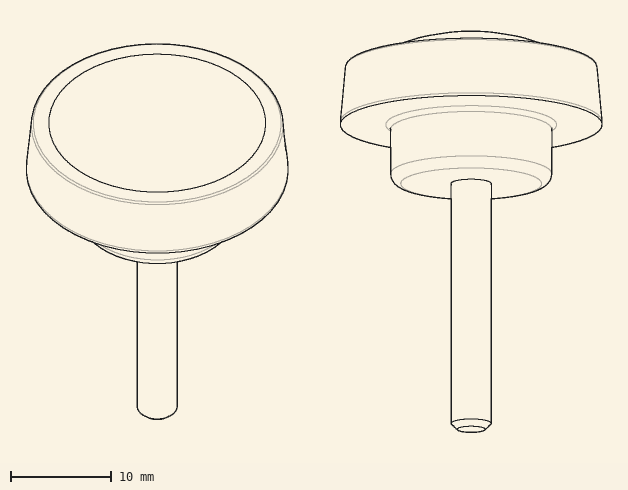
import cadquery as cq

pin_length = 25.0
hub_height = 6.0
rim_height = 6.0
dome_height = 3.0
hub_top = pin_length + hub_height
rim_top = hub_top + rim_height
dome_top = rim_top + dome_height

pin_radius = 4.0 / 2
hub_radius = 16.0 / 2
rim_bottom_radius = 26.0 / 2
rim_top_radius = 12.5
dome_radius = 10.75

tip_chamfer = 0.6
hub_bottom_fillet = 1.0
hub_top_fillet = 0.5
rim_top_fillet = 0.2
rim_bottom_land = 0.3


def make_pin():
    """Plain shank with a chamfered tip."""
    pin = cq.Workplane("XY").circle(pin_radius).extrude(pin_length)
    return pin.faces("<Z").chamfer(tip_chamfer)


def make_hub():
    """Collar with a rounded lower edge and a concave flare where it meets the head."""
    flare_start = hub_top - hub_top_fillet
    flare_radius = hub_radius + hub_top_fillet
    return (
        cq.Workplane("XZ")
        .moveTo(0, pin_length)
        .lineTo(hub_radius - hub_bottom_fillet, pin_length)
        .radiusArc((hub_radius, pin_length + hub_bottom_fillet), -hub_bottom_fillet)
        .lineTo(hub_radius, flare_start)
        .radiusArc((flare_radius, hub_top), hub_top_fillet)
        .lineTo(0, hub_top)
        .close()
        .revolve(360, (0, 0), (0, 1))
    )


def make_rim():
    """Tapered head with a short straight land below and a rounded upper edge."""
    rim = (
        cq.Workplane("XZ")
        .moveTo(0, hub_top)
        .lineTo(rim_bottom_radius, hub_top)
        .lineTo(rim_bottom_radius, hub_top + rim_bottom_land)
        .lineTo(rim_top_radius, rim_top)
        .lineTo(0, rim_top)
        .close()
        .revolve(360, (0, 0), (0, 1))
    )
    return rim.faces(">Z").edges().fillet(rim_top_fillet)


def make_dome():
    """Spherical cap standing on the flat top of the head."""
    sphere_radius = (dome_radius**2 + dome_height**2) / (2 * dome_height)
    return (
        cq.Workplane("XZ")
        .moveTo(0, rim_top)
        .lineTo(dome_radius, rim_top)
        .radiusArc((0, dome_top), -sphere_radius)
        .close()
        .revolve(360, (0, 0), (0, 1))
    )


result = make_pin().union(make_hub()).union(make_rim()).union(make_dome())